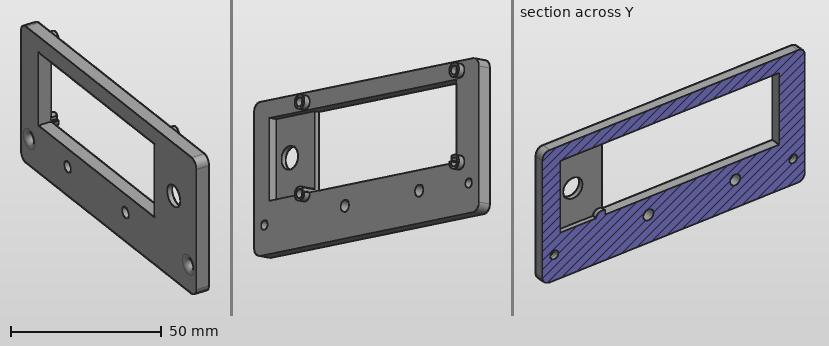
import cadquery as cq
import math

width = 109.1
height = 52.0
thickness = 5.0
corner_radius = 3.0

window_left = 10.9
window_width = 72.0
window_height = 27.9
window_top_margin = 6.1
window_top = height - window_top_margin
window_bottom = window_top - window_height

recess_floor = 2.0
recess_right = 101.5
window_right = window_left + window_width

peg_diameter = 4.8
peg_length = 2.4
peg_hole_diameter = 3.0
peg_left = 9.5
peg_spacing_x = 74.9
peg_spacing_z = 31.0
peg_top = height - 3.4

knob_diameter = 8.0
knob_center = (95.0, height - 20.1)
button_diameter = 4.0
button_z = 11.0
button_xs = (29.0, 65.0)

screw_diameter = 3.2
flare_radius = 2.1
screw_edge_distance = 5.0
screw_z = 10.1
screw_centers = [(x, screw_z) for x in (screw_edge_distance, width - screw_edge_distance)]

back = thickness + peg_length


def front_plane(y=0):
    """XZ sketch plane at depth y, with its normal toward the front."""
    return cq.Workplane("XZ", origin=(0, y, 0))


def block(left, right, bottom, top, front, rear):
    """Box given by its six limits."""
    size = (right - left, rear - front, top - bottom)
    return cq.Workplane().box(*size, centered=False).translate((left, front, bottom))


def round_bars(centers, diameter, front, rear):
    """Cylinders along Y between two depths."""
    return front_plane(front).pushPoints(centers).circle(diameter / 2).extrude(front - rear)


def make_flared_hole(center):
    """Cutter for a hole whose front edge is rounded over by flare_radius."""
    radius = screw_diameter / 2
    arc_step = flare_radius * (1 - math.sqrt(0.5))
    profile = (
        cq.Workplane("XY")
        .lineTo(radius + flare_radius, 0)
        .threePointArc((radius + arc_step, arc_step), (radius, flare_radius))
        .lineTo(radius, thickness)
        .lineTo(0, thickness)
        .close()
    )
    cutter = profile.revolve(360, (0, 0, 0), (0, 1, 0))
    return cutter.translate((center[0], 0, center[1]))


plate = block(0, width, 0, height, 0, thickness).edges("|Y").fillet(corner_radius)
recess = block(window_right, recess_right, window_bottom, window_top, recess_floor, thickness)

peg_centers = [
    (peg_left + column * peg_spacing_x, peg_top - row * peg_spacing_z)
    for column in range(2)
    for row in range(2)
]
pegs = round_bars(peg_centers, peg_diameter, recess_floor, back)
peg_holes = round_bars(peg_centers, peg_hole_diameter, thickness, back)

window = block(window_left, window_right, window_bottom, window_top, 0, back)

button_centers = [(x, button_z) for x in button_xs]

result = plate.cut(recess).union(pegs).cut(peg_holes).cut(window)
result = result.cut(round_bars([knob_center], knob_diameter, 0, thickness))
result = result.cut(round_bars(button_centers, button_diameter, 0, thickness))
for screw_center in screw_centers:
    result = result.cut(make_flared_hole(screw_center))